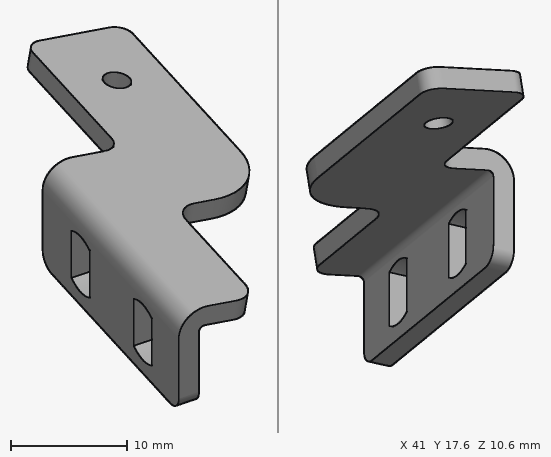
import cadquery as cq
import math

thickness = 2.0
inner_radius = 0.5
outer_radius = inner_radius + thickness
tilt = 9.5

length = 41
depth = 17.55
height = 10.55

flange_start = 16.95
neck_end = 26.5
hole_x = 7.5

bend_end_y = outer_radius * (1 + math.sin(math.radians(tilt)))
plate_width = (depth - bend_end_y) / math.cos(math.radians(tilt))
arm_width = 10.0
step = plate_width - arm_width

small_corner = 1.5
medium_corner = 2.0
large_corner = 6.0

hole_diameter = 2.5
slot_width = 3.2
slot_height = 6.03
slot_z = 4.45
slot_xs = (23.65, 34.65)

bend_y = outer_radius
bend_z = height - outer_radius


def bend_point(radius, angle):
    """Y, Z of a point on the bend; angle in degrees from +Y."""
    turn = math.radians(angle)
    return bend_y + radius * math.cos(turn), bend_z + radius * math.sin(turn)


def make_flange():
    """Upright plate with rounded lower corners and two flat-sided round slots."""
    flange_length = length - flange_start
    flange = (
        cq.Workplane("XY")
        .box(flange_length, thickness, bend_z, centered=False)
        .translate((flange_start, 0, 0))
        .edges("|Y and <Z")
        .fillet(small_corner)
    )
    for x in slot_xs:
        disc = cq.Workplane("XZ", origin=(x, thickness, slot_z)).circle(slot_height / 2).extrude(thickness)
        sides = cq.Workplane("XY").box(slot_width, thickness, slot_height).translate((x, thickness / 2, slot_z))
        flange = flange.cut(disc.intersect(sides))
    return flange


def make_bend():
    """Curved strip joining the flange to the arm plate."""
    start = 180
    end = 90 - tilt
    middle = (start + end) / 2
    return (
        cq.Workplane("YZ", origin=(flange_start, 0, 0))
        .moveTo(*bend_point(outer_radius, start))
        .threePointArc(bend_point(outer_radius, middle), bend_point(outer_radius, end))
        .lineTo(*bend_point(inner_radius, end))
        .threePointArc(bend_point(inner_radius, middle), bend_point(inner_radius, start))
        .close()
        .extrude(length - flange_start)
    )


def make_arm():
    """Stepped plate, drawn flat with its top at Z = 0 and then tilted onto the bend."""
    plate = (
        cq.Workplane("XY")
        .polyline([
            (flange_start, 0),
            (length, 0),
            (length, step),
            (neck_end, step),
            (neck_end, plate_width),
            (0, plate_width),
            (0, step),
            (flange_start, step),
        ])
        .close()
        .extrude(-thickness)
    )
    corners = (
        (length, step, medium_corner),
        (neck_end, step, medium_corner),
        (neck_end, plate_width, large_corner),
        (0, plate_width, small_corner),
        (0, step, small_corner),
        (flange_start, step, small_corner),
    )
    for x, y, radius in corners:
        corner_edge = cq.selectors.NearestToPointSelector((x, y, -thickness / 2))
        plate = plate.edges("|Z").edges(corner_edge).fillet(radius)
    hole_y = step + arm_width / 2
    hole = cq.Workplane("XY").center(hole_x, hole_y).circle(hole_diameter / 2).extrude(-thickness)
    plate = plate.cut(hole)
    return plate.rotate((0, 0, 0), (1, 0, 0), -tilt).translate((0, *bend_point(outer_radius, 90 - tilt)))


result = make_flange().union(make_bend()).union(make_arm())